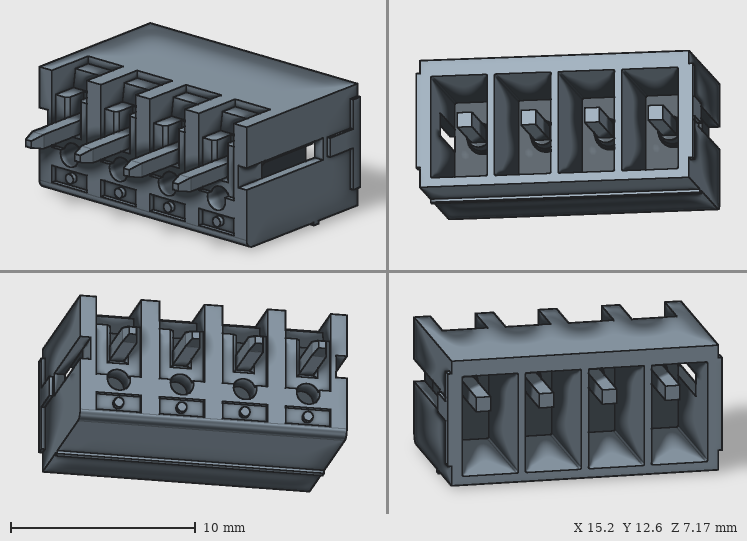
import cadquery as cq


contact_count = 4
pitch = 3.5
end_margin = 2.15
body_width = (contact_count - 1) * pitch + 2 * end_margin
body_depth = 9.2
body_height = 7.0
bottom_edge_radius = 0.5
contact_xs = [(i - (contact_count - 1) / 2) * pitch for i in range(contact_count)]

pin_size = 0.8
pin_z = 4.0
pin_reach = 3.4
pin_tip_size = 0.4
pin_tip_length = 0.8
pin_inner_end = 7.5
collar_radius = 0.8
collar_flange_y = 2.3
collar_end_y = 3.29
barrel_start_y = 2.41
barrel_start_radius = 0.7
barrel_end_radius = 0.66
barrel_mid_radius = 0.74

recess_width = 2.5
recess_floor_z = 2.58
shelf_depth = 3.0
shelf_z = 6.57
slope_top_y = 1.95
slope_bottom_y = 1.79
block_top_z = 5.53
block_front_y = 0.3

slot_width = 0.76
slot_depth = 1.63
slot_bottom_z = 3.57
slot_bevel = 0.2
lead_in_top_z = 4.7
lead_in_depth = 0.6

hole_radius = 0.64
hole_z = 2.38
window_bottom_z = 0.56
window_height = 0.98
window_depth = 0.3
peg_radius = 0.27
peg_z = 1.05

wall = 0.6
socket_front_y = 1.97
socket_width = 2 * (end_margin - wall)
socket_floor_z = 0.5
socket_top_z = 6.1
socket_corner_radius = 0.1

groove_bottom_z = 3.39
groove_height = 1.26
groove_length = 6.34

lug_thickness = 0.2
lug_bar_depth = 0.6
lug_bar_bottom_z = 1.1
lug_bar_top_z = 6.29
lug_stem_length = 2.52
lug_stem_bottom_z = 3.5
lug_stem_top_z = 4.6

rib_height = 0.17
rib_width = 0.4
rib_from_back = 3.22


def box(x0, x1, y0, y1, z0, z1):
    """Box between two opposite corners."""
    return cq.Workplane("XY").box(x1 - x0, y1 - y0, z1 - z0, centered=False).translate((x0, y0, z0))


def centered_box(x, width, y0, y1, z0, z1):
    """Box of the given width centered on x."""
    return box(x - width / 2, x + width / 2, y0, y1, z0, z1)


def rod(x, z, radius, y0, y1):
    """Cylinder along Y."""
    return cq.Workplane("XZ", origin=(x, y0, z)).circle(radius).extrude(y0 - y1)


def side_profile(points, x, width):
    """Outline in (y, z), extruded along X and centered on x."""
    return cq.Workplane("YZ", origin=(x, 0, 0)).polyline(points).close().extrude(width / 2, both=True)


def make_body():
    body = centered_box(0, body_width, 0, body_depth, 0, body_height)
    body = body.edges("|X and <Y and <Z").fillet(bottom_edge_radius)
    rib_end = body_depth - rib_from_back
    rib = centered_box(0, body_width, rib_end - rib_width, rib_end, -rib_height, socket_floor_z)
    return body.union(rib)


def make_socket(x):
    socket = centered_box(x, socket_width, socket_front_y, body_depth, socket_floor_z, socket_top_z)
    return socket.edges("|Y").fillet(socket_corner_radius)


def make_recess(x):
    outline = [
        (0, recess_floor_z),
        (block_front_y, recess_floor_z),
        (block_front_y, block_top_z),
        (slope_bottom_y, block_top_z),
        (slope_top_y, shelf_z),
        (shelf_depth, shelf_z),
        (shelf_depth, body_height),
        (0, body_height),
    ]
    return side_profile(outline, x, recess_width)


def make_slot(x):
    straight = centered_box(x, slot_width, block_front_y, slot_depth, slot_bottom_z, block_top_z)
    mouth_height = block_top_z - slot_bottom_z
    mouth = (
        cq.Workplane("XZ", origin=(x, block_front_y, block_top_z))
        .rect(slot_width + 2 * slot_bevel, 2 * (mouth_height + slot_bevel))
        .workplane(offset=-slot_bevel)
        .rect(slot_width, 2 * mouth_height)
        .loft(ruled=True)
    )
    pin_top_z = pin_z + pin_size / 2
    lead_in = side_profile(
        [(slot_depth, pin_top_z), (slot_depth, lead_in_top_z), (slot_depth + lead_in_depth, pin_top_z)],
        x,
        slot_width,
    )
    return straight.union(mouth).union(lead_in)


def make_window(x):
    window_top_z = window_bottom_z + window_height
    window = centered_box(x, recess_width, 0, window_depth, window_bottom_z, window_top_z)
    return window.cut(rod(x, peg_z, peg_radius, 0, window_depth))


def make_collar(x):
    """Round collar that carries the pin inside the socket: a flange, a step and a barrel-shaped end."""
    return (
        cq.Workplane("XY", origin=(x, 0, pin_z))
        .moveTo(0, slot_depth)
        .lineTo(collar_radius, slot_depth)
        .lineTo(collar_radius, collar_flange_y)
        .lineTo(barrel_start_radius, barrel_start_y)
        .threePointArc(
            (barrel_mid_radius, (barrel_start_y + collar_end_y) / 2),
            (barrel_end_radius, collar_end_y),
        )
        .lineTo(0, collar_end_y)
        .close()
        .revolve(360, (0, 0, 0), (0, 1, 0))
    )


def make_pin(x):
    pin_half = pin_size / 2
    taper_y = pin_tip_length - pin_reach
    shank = centered_box(x, pin_size, taper_y, pin_inner_end, pin_z - pin_half, pin_z + pin_half)
    tip = (
        cq.Workplane("XZ", origin=(x, taper_y, pin_z))
        .rect(pin_size, pin_size)
        .workplane(offset=pin_tip_length)
        .rect(pin_tip_size, pin_tip_size)
        .loft(ruled=True)
    )
    return shank.union(tip)


def make_groove(side):
    """Groove along one end face; past the front wall of the socket it breaks into the socket."""
    outer = side * body_width / 2
    inner = outer - side * wall
    x0, x1 = sorted((outer, inner))
    return box(x0, x1, 0, groove_length, groove_bottom_z, groove_bottom_z + groove_height)


def make_lug(side):
    face = side * body_width / 2
    x0, x1 = sorted((face, face + side * lug_thickness))
    bar = box(x0, x1, body_depth - lug_bar_depth, body_depth, lug_bar_bottom_z, lug_bar_top_z)
    stem = box(x0, x1, body_depth - lug_stem_length, body_depth, lug_stem_bottom_z, lug_stem_top_z)
    return bar.union(stem)


result = make_body()
for side in (-1, 1):
    result = result.cut(make_groove(side)).union(make_lug(side))

for x in contact_xs:
    result = result.cut(make_socket(x)).union(make_collar(x))
    result = result.cut(make_recess(x)).cut(make_slot(x)).cut(make_window(x))
    result = result.cut(rod(x, hole_z, hole_radius, 0, slot_depth))
    result = result.union(make_pin(x))